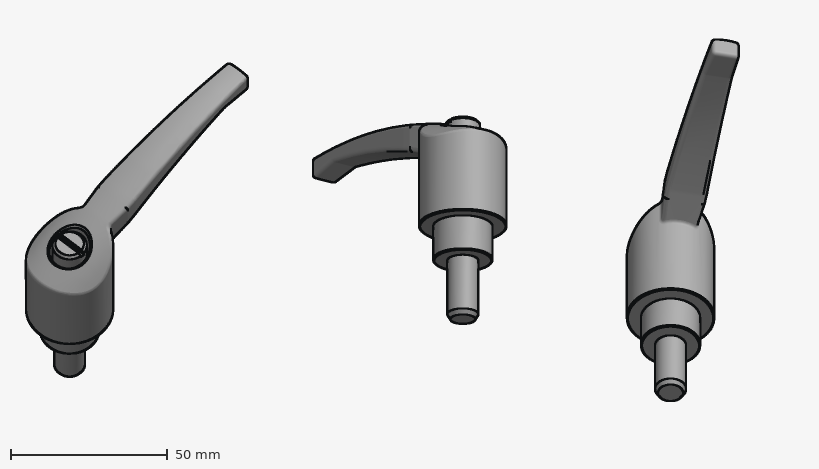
import cadquery as cq
import math

overall_height = 82.0
overall_length = 94.0

hub_diameter = 28.0
hub_radius = hub_diameter / 2
hub_bottom = 32.0
collar_diameter = 19.0
collar_bottom = 20.2
stud_diameter = 10.0
stud_tip_diameter = 8.0
stud_chamfer_height = 1.7
edge_chamfer = 0.4

selection_margin = 0.2

crest_radius = 211.5
crown_radius = 19.3
crown_overlap = 0.9
crest_y = 79.0
crest_center_z = overall_height - crest_radius

tip_y = overall_length - hub_radius
tip_half_width = 4.4
waist_start_y = 20.4
waist_end_y = 24.0
waist_half_width = 6.6
neck_y = 12.2
neck_half_width = 5.7
underside_root_z = 59.9
underside_mid = (41.4, 70.6)
lip_start = (67.7, 76.3)
lip_z = 74.5
edge_fillet = 1.3

screw_diameter = 11.0
screw_top = 68.1
screw_chamfer = 0.9
slot_width = 1.5
slot_depth = 1.5
recess_diameter = 13.0
mouth_bevel = 0.7
recess_floor = 56.4


def cylinder(diameter, bottom, top):
    return cq.Workplane("XY").workplane(offset=bottom).circle(diameter / 2).extrude(top - bottom)


def make_lever_blank():
    """Tapered plan outline, trimmed below by the curved underside and tip lip."""
    right_edge = [
        (neck_half_width, 0),
        (neck_half_width, neck_y),
        (waist_half_width, waist_start_y),
        (waist_half_width, waist_end_y),
        (tip_half_width, tip_y),
    ]
    left_edge = [(-x, y) for x, y in reversed(right_edge)]
    plan = cq.Workplane("XY").polyline(right_edge + left_edge).close().extrude(overall_height)
    side = (
        cq.Workplane("YZ")
        .moveTo(0, overall_height)
        .lineTo(0, underside_root_z)
        .lineTo(neck_y, underside_root_z)
        .threePointArc(underside_mid, lip_start)
        .lineTo(tip_y, lip_z)
        .lineTo(tip_y, overall_height)
        .close()
        .extrude(hub_radius, both=True)
    )
    return plan.intersect(side)


def make_crown():
    """Solid of revolution about an X-parallel axis, arched across the lever."""
    half_width = hub_radius + crown_overlap
    crown_drop = crown_radius - math.sqrt(crown_radius**2 - half_width**2)
    return (
        cq.Workplane("XZ", origin=(0, crest_y, crest_center_z))
        .moveTo(-half_width, 0)
        .lineTo(-half_width, crest_radius - crown_drop)
        .threePointArc((0, crest_radius), (half_width, crest_radius - crown_drop))
        .lineTo(half_width, 0)
        .close()
        .revolve(360, (0, 0, 0), (1, 0, 0))
    )


def make_handle():
    hub = cylinder(hub_diameter, hub_bottom, overall_height)
    handle = hub.union(make_lever_blank()).intersect(make_crown())
    upper_edges = handle.edges(cq.selectors.BoxSelector(
        (-hub_diameter, -hub_diameter, hub_bottom + selection_margin),
        (hub_diameter, overall_length, overall_height + selection_margin),
    ))
    handle = upper_edges.fillet(edge_fillet)
    return handle.faces("<Z").edges().chamfer(edge_chamfer)


def cut_recess(handle):
    """Flat-bottomed recess for the screw, bevelled along its curved mouth."""
    handle = handle.cut(cylinder(recess_diameter, recess_floor, overall_height))
    reach = recess_diameter / 2 + selection_margin
    mouth = handle.edges(cq.selectors.BoxSelector(
        (-reach, -reach, recess_floor + selection_margin),
        (reach, reach, overall_height),
        boundingbox=True,
    )).edges("not |Z")
    return mouth.chamfer(mouth_bevel)


def make_stud():
    collar = cylinder(collar_diameter, collar_bottom, hub_bottom)
    collar = collar.faces("<Z").edges().chamfer(edge_chamfer)
    stud = cylinder(stud_diameter, 0, collar_bottom)
    tip_inset = (stud_diameter - stud_tip_diameter) / 2
    stud = stud.faces("<Z").chamfer(stud_chamfer_height, tip_inset)
    return collar.union(stud)


def make_screw():
    screw = cylinder(screw_diameter, recess_floor, screw_top)
    screw = screw.faces(">Z").chamfer(screw_chamfer)
    slot = cq.Workplane("XY").box(screw_diameter, slot_width, 2 * slot_depth)
    return screw.cut(slot.translate((0, 0, screw_top)))


handle = cut_recess(make_handle())
result = handle.union(make_stud()).union(make_screw())